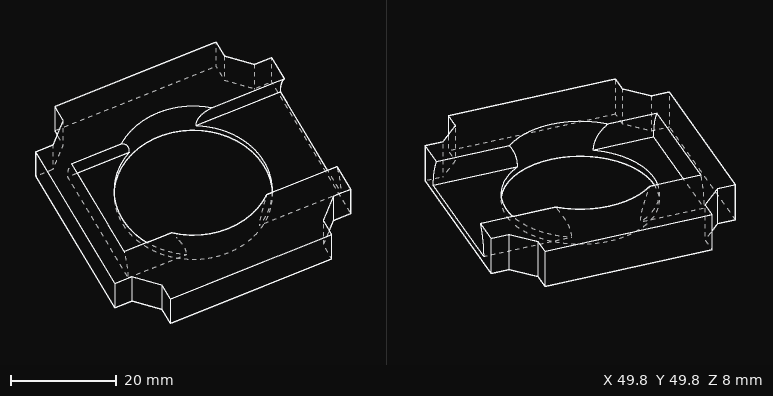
import cadquery as cq
import math

side = 49.8
thickness = 8.0
half_side = side / 2
edge_half_length = 17.05
notch_shoulder = 21.25

hole_diameter = 30.0

floor_height = 1.55
channel_radius = 13.05
channel_center_x = -0.2
channel_end_y = -20.0
channel_depth = thickness - floor_height
opening_half_width = math.sqrt(channel_radius**2 - channel_depth**2)


def make_plate():
    """Square plate with a chamfered notch at each corner."""
    corner = [
        (half_side, edge_half_length),
        (notch_shoulder, edge_half_length),
        (edge_half_length, notch_shoulder),
        (edge_half_length, half_side),
    ]
    outline = []
    for quarter_turn in range(4):
        outline += corner
        corner = [(-y, x) for x, y in corner]
    return cq.Workplane("XY").polyline(outline).close().extrude(thickness)


def make_channel():
    """Flat-floored channel whose arched sides lean inward toward the top."""
    mid_height = channel_depth / 2
    mid_half_width = math.sqrt(channel_radius**2 - mid_height**2)
    return (
        cq.Workplane("XZ", origin=(channel_center_x, half_side, floor_height))
        .moveTo(-channel_radius, 0)
        .lineTo(channel_radius, 0)
        .threePointArc((mid_half_width, mid_height), (opening_half_width, channel_depth))
        .lineTo(-opening_half_width, channel_depth)
        .threePointArc((-mid_half_width, mid_height), (-channel_radius, 0))
        .close()
        .extrude(half_side - channel_end_y)
    )


hole = cq.Workplane("XY").circle(hole_diameter / 2).extrude(thickness)
result = make_plate().cut(make_channel()).cut(hole)